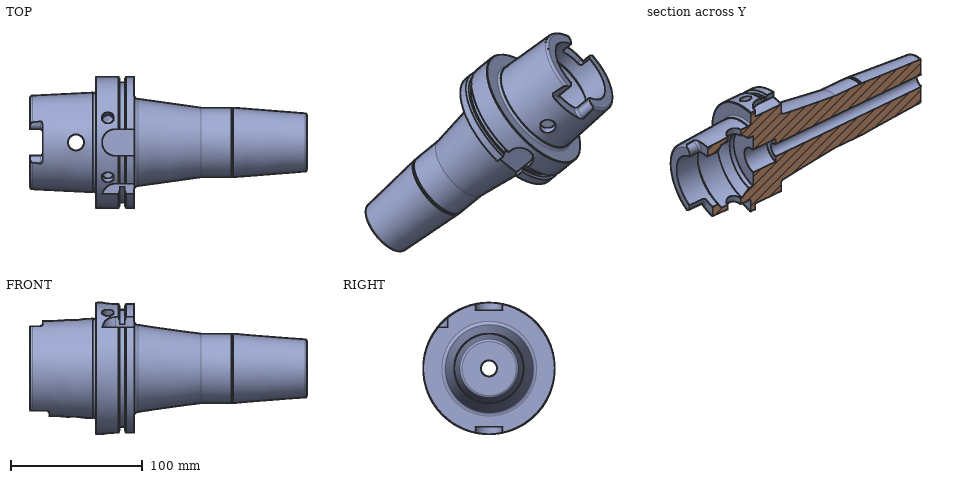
import cadquery as cq
import math

LENGTH = 210.0

SHANK_LENGTH = 50.0
TAPER_END_X = 47.7
TAPER_END_RADIUS = 75.8 / 2
TAPER_SLOPE = 0.05
SHANK_NOSE_ROUND = 1.9
NECK_RADIUS = 37.4
NECK_FLARE = 1.9

FLANGE_RADIUS = 100.0 / 2
FLANGE_WIDTH = 29.0
FLANGE_END_X = SHANK_LENGTH + FLANGE_WIDTH
FLANGE_CHAMFER = 0.5
GROOVE_START_X = 67.0
GROOVE_END_X = 72.9
GROOVE_BEVEL = 1.0
GROOVE_BEVEL_DEPTH = 2.0
GROOVE_FLOOR_RADIUS = 45.8

FLARE_RISE = 6.7
FLARE_END_X = 129.5
FLARE_FILLET = 2.7
FLARE_START_X = FLANGE_END_X + FLARE_FILLET
NOSE_RADIUS = 53.0 / 2
RELIEF_START_X = 152.5
RELIEF_END_X = 154.1
RELIEF_BEVEL = 0.6
RELIEF_DEPTH = 0.2
TIP_ANGLE = 4.5
TIP_ROUND = 1.7

BORE_RADIUS = 53.0 / 2
BORE_LIP_LENGTH = 20.0
CLAMP_RADIUS = 63.0 / 2
CLAMP_ANGLE = 60.0
CLAMP_END_X = 42.0
FLOOR_RADIUS = 25.0
FLOOR_X = 52.5
COUNTERBORE_DIAMETER = 22.5
COUNTERBORE_DEPTH = 21.0
THROUGH_DIAMETER = 12.0

SLOT_HALF_WIDTH = 9.9
SLOT_CORNER_RADIUS = 5.0
SLOT_SHOULDER_Z = 32.1
SLOT_FLOOR_FILLET = 1.9
TOP_SLOT_DEPTH = 9.7
BOTTOM_SLOT_DEPTH = 14.5

CROSS_HOLE_DIAMETER = 12.0
CROSS_HOLE_X = 34.9

CUTTER_RADIUS = 10.0
KEYWAY_START_X = 54.5
KEYWAY_FLOOR_Z = 44.0
NOTCH_OFFSET = 31.3

RIM_HOLE_DIAMETER = 9.0
RIM_HOLE_X = 59.0
RIM_HOLE_DEPTH = 5.9
RIM_HOLE_ANGLES = (-22.0, 32.0)
DRILL_POINT_ANGLE = 118.0

CLEARANCE = 10.5

MID_ARC_INSET = 1 - math.sqrt(0.5)


def revolve_about_x(profile):
    return profile.close().revolve(360, (0, 0, 0), (1, 0, 0))


def make_body():
    mouth_radius = TAPER_END_RADIUS - TAPER_SLOPE * TAPER_END_X
    taper_start_radius = mouth_radius + TAPER_SLOPE * SHANK_NOSE_ROUND
    bevel_radius = FLANGE_RADIUS - GROOVE_BEVEL_DEPTH
    rim_radius = FLANGE_RADIUS - FLANGE_CHAMFER
    flare_start_radius = NOSE_RADIUS + FLARE_RISE
    tip_radius = NOSE_RADIUS - (LENGTH - RELIEF_END_X) * math.tan(math.radians(TIP_ANGLE))
    tip_round_start_radius = tip_radius + TIP_ROUND * math.tan(math.radians(TIP_ANGLE))
    nose_inset = SHANK_NOSE_ROUND * MID_ARC_INSET
    neck_inset = NECK_FLARE * MID_ARC_INSET
    flare_inset = FLARE_FILLET * MID_ARC_INSET
    tip_inset = TIP_ROUND * MID_ARC_INSET

    profile = (
        cq.Workplane("XY")
        .lineTo(0, taper_start_radius - SHANK_NOSE_ROUND)
        .threePointArc(
            (nose_inset, taper_start_radius - nose_inset),
            (SHANK_NOSE_ROUND, taper_start_radius),
        )
        .lineTo(TAPER_END_X, TAPER_END_RADIUS)
        .lineTo(TAPER_END_X, NECK_RADIUS)
        .lineTo(SHANK_LENGTH - NECK_FLARE, NECK_RADIUS)
        .threePointArc(
            (SHANK_LENGTH - neck_inset, NECK_RADIUS + neck_inset),
            (SHANK_LENGTH, NECK_RADIUS + NECK_FLARE),
        )
        .lineTo(SHANK_LENGTH, rim_radius)
        .lineTo(SHANK_LENGTH + FLANGE_CHAMFER, FLANGE_RADIUS)
        .lineTo(GROOVE_START_X, FLANGE_RADIUS)
        .lineTo(GROOVE_START_X + GROOVE_BEVEL, bevel_radius)
        .lineTo(GROOVE_START_X + GROOVE_BEVEL, GROOVE_FLOOR_RADIUS)
        .lineTo(GROOVE_END_X - GROOVE_BEVEL, GROOVE_FLOOR_RADIUS)
        .lineTo(GROOVE_END_X - GROOVE_BEVEL, bevel_radius)
        .lineTo(GROOVE_END_X, FLANGE_RADIUS)
        .lineTo(FLANGE_END_X, FLANGE_RADIUS)
        .lineTo(FLANGE_END_X, flare_start_radius + FLARE_FILLET)
        .threePointArc(
            (FLANGE_END_X + flare_inset, flare_start_radius + flare_inset),
            (FLARE_START_X, flare_start_radius),
        )
        .lineTo(FLARE_END_X, NOSE_RADIUS)
        .lineTo(RELIEF_START_X, NOSE_RADIUS)
        .lineTo(RELIEF_START_X, NOSE_RADIUS - RELIEF_DEPTH)
        .lineTo(RELIEF_END_X - RELIEF_BEVEL, NOSE_RADIUS - RELIEF_DEPTH)
        .lineTo(RELIEF_END_X, NOSE_RADIUS)
        .lineTo(LENGTH - TIP_ROUND, tip_round_start_radius)
        .threePointArc(
            (LENGTH - tip_inset, tip_round_start_radius - tip_inset),
            (LENGTH, tip_round_start_radius - TIP_ROUND),
        )
        .lineTo(LENGTH, 0)
    )
    return revolve_about_x(profile)


def make_bore():
    clamp_cone_length = (CLAMP_RADIUS - BORE_RADIUS) / math.tan(math.radians(CLAMP_ANGLE))
    floor_cone_length = CLAMP_RADIUS - FLOOR_RADIUS
    counterbore_x = FLOOR_X + COUNTERBORE_DEPTH
    profile = (
        cq.Workplane("XY")
        .lineTo(0, BORE_RADIUS)
        .lineTo(BORE_LIP_LENGTH, BORE_RADIUS)
        .lineTo(BORE_LIP_LENGTH + clamp_cone_length, CLAMP_RADIUS)
        .lineTo(CLAMP_END_X, CLAMP_RADIUS)
        .lineTo(CLAMP_END_X + floor_cone_length, FLOOR_RADIUS)
        .lineTo(FLOOR_X, FLOOR_RADIUS)
        .lineTo(FLOOR_X, COUNTERBORE_DIAMETER / 2)
        .lineTo(counterbore_x, COUNTERBORE_DIAMETER / 2)
        .lineTo(counterbore_x, THROUGH_DIAMETER / 2)
        .lineTo(LENGTH, THROUGH_DIAMETER / 2)
        .lineTo(LENGTH, 0)
    )
    return revolve_about_x(profile)


def make_drive_slot(depth):
    """Slot above the axis: straight flanks that round outward into flat shoulders."""
    flank_top_z = SLOT_SHOULDER_Z - SLOT_CORNER_RADIUS
    shoulder_y = SLOT_HALF_WIDTH + SLOT_CORNER_RADIUS
    arc_inset = SLOT_CORNER_RADIUS * MID_ARC_INSET
    arc_mid_y = SLOT_HALF_WIDTH + arc_inset
    arc_mid_z = SLOT_SHOULDER_Z - arc_inset
    outer_y = TAPER_END_RADIUS
    outer_z = TAPER_END_RADIUS + CLEARANCE
    return (
        cq.Workplane("YZ", origin=(-CLEARANCE, 0, 0))
        .moveTo(-SLOT_HALF_WIDTH, 0)
        .lineTo(SLOT_HALF_WIDTH, 0)
        .lineTo(SLOT_HALF_WIDTH, flank_top_z)
        .threePointArc((arc_mid_y, arc_mid_z), (shoulder_y, SLOT_SHOULDER_Z))
        .lineTo(outer_y, SLOT_SHOULDER_Z)
        .lineTo(outer_y, outer_z)
        .lineTo(-outer_y, outer_z)
        .lineTo(-outer_y, SLOT_SHOULDER_Z)
        .lineTo(-shoulder_y, SLOT_SHOULDER_Z)
        .threePointArc((-arc_mid_y, arc_mid_z), (-SLOT_HALF_WIDTH, flank_top_z))
        .close()
        .extrude(CLEARANCE + depth)
        .faces(">X")
        .edges()
        .fillet(SLOT_FLOOR_FILLET)
    )


def make_milled_slot(center_y, floor_z):
    """Round-ended slot, open toward +X and +Z, as left by the flange cutter."""
    height = FLANGE_RADIUS + CLEARANCE - floor_z
    round_center_x = KEYWAY_START_X + CUTTER_RADIUS
    plane = cq.Workplane("XY", origin=(round_center_x, center_y, floor_z))
    straight_length = FLANGE_END_X - round_center_x
    straight = plane.box(straight_length, 2 * CUTTER_RADIUS, height, centered=(False, True, False))
    return plane.circle(CUTTER_RADIUS).extrude(height).union(straight)


def make_rim_hole(angle):
    """Radial blind hole with a drill point, tilted from +Z toward -Y by the angle."""
    radius = RIM_HOLE_DIAMETER / 2
    point_length = radius / math.tan(math.radians(DRILL_POINT_ANGLE / 2))
    floor_z = FLANGE_RADIUS - RIM_HOLE_DEPTH
    drill = (
        cq.Workplane("XZ")
        .moveTo(0, floor_z - point_length)
        .lineTo(radius, floor_z)
        .lineTo(radius, FLANGE_RADIUS + CLEARANCE)
        .lineTo(0, FLANGE_RADIUS + CLEARANCE)
        .close()
        .revolve(360, (0, 0, 0), (0, 1, 0))
    )
    return drill.translate((RIM_HOLE_X, 0, 0)).rotate((0, 0, 0), (1, 0, 0), angle)


def turned_below(shape):
    """The shape given a half turn about the axis, from the +Z side to the -Z side."""
    return shape.rotate((0, 0, 0), (1, 0, 0), 180)


result = make_body().cut(make_bore())

result = result.cut(make_drive_slot(TOP_SLOT_DEPTH))
result = result.cut(turned_below(make_drive_slot(BOTTOM_SLOT_DEPTH)))

cross_hole = (
    cq.Workplane("XY", origin=(CROSS_HOLE_X, 0, 0))
    .circle(CROSS_HOLE_DIAMETER / 2)
    .extrude(FLANGE_RADIUS, both=True)
)
result = result.cut(cross_hole)

keyway = make_milled_slot(0, KEYWAY_FLOOR_Z)
result = result.cut(keyway).cut(turned_below(keyway))
result = result.cut(make_milled_slot(-NOTCH_OFFSET - CUTTER_RADIUS, NOTCH_OFFSET))

for hole_angle in RIM_HOLE_ANGLES:
    result = result.cut(make_rim_hole(hole_angle))